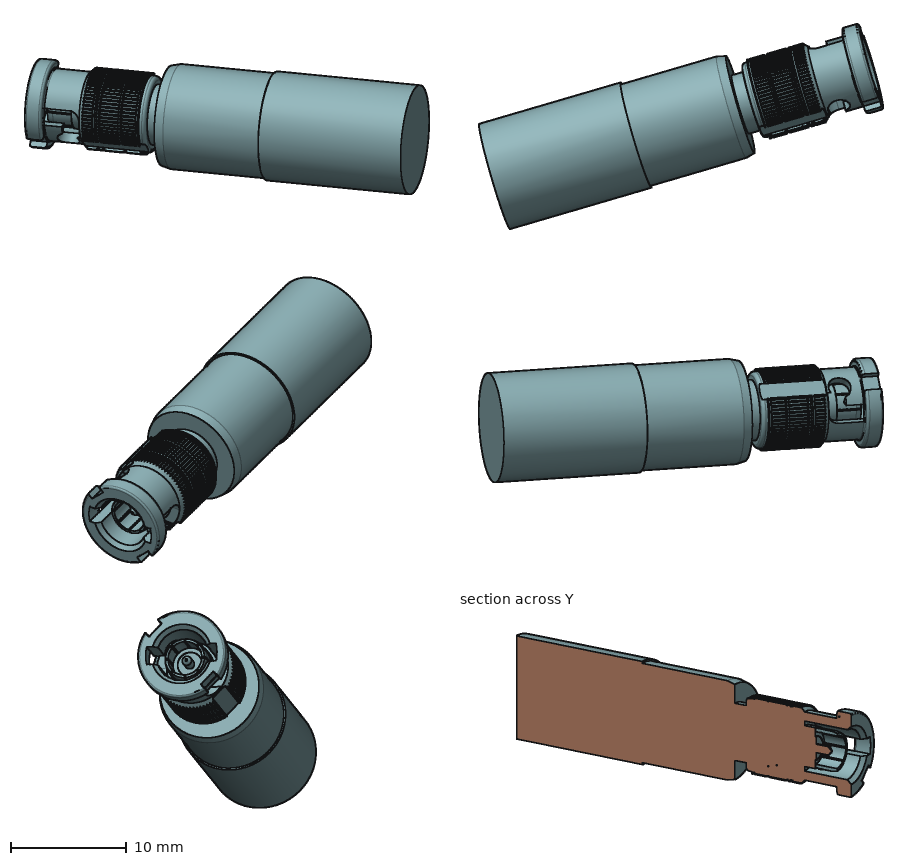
import cadquery as cq
import math

length = 33.92

edge_tolerance = 0.005

handle_radius = 4.75
handle_start = 21.15
barrel_radius = 4.58
barrel_start = 11.77
barrel_chamfer_length = 0.8
barrel_chamfer_depth = 0.2
neck_radius = 2.65

flange_radius = 3.85
flange_length = 1.5
flange_front_fillet = 0.17
flange_rear_fillet = 0.25
flange_root_fillet = 0.1
sleeve_radius = 3.15
bore_radius = 2.27
bore_mouth_radius = 2.65
bore_mouth_length = 0.4
bore_depth = 4.8

nut_start = 4.7
nut_end = 10.7
knurl_end = 10.1
knurl_radius = 3.55
knurl_root_radius = 3.45
knurl_teeth = 72
knurl_crest_share = 0.6
collar_radius = 3.35
collar_fillet = 0.35
wide_grooves = (6.5, 8.45)
wide_groove_width = 0.3
narrow_grooves = (6.07, 9.95)
narrow_groove_width = 0.2
groove_depth = 0.17

slot_width = 1.55
slot_floor = 3.22
slot_angle = 45.0

keyway_half_width = 0.78
track_front = 3.12
track_end = 4.68
track_arc_start = 3.8
track_bottom = -1.85
latch_hole_diameter = 1.97
latch_hole_x = 3.53

contact_tip = 1.5
contact_radius = 1.83
contact_base_radius = 1.9
contact_base_start = 3.65
contact_bore_radius = 1.5
contact_tip_chamfer_length = 0.47
contact_tip_chamfer_depth = 0.1
slit_count = 8
slit_width = 0.15
insulator_radius = 1.1
insulator_height = 0.1
pin_tip = 2.05
pin_radius = 0.4
pin_tip_radius = 0.1
pin_taper_length = 0.3


def turned(profile):
    """Solid of revolution about X from (x, radius) points."""
    points = [(profile[0][0], 0)] + profile + [(profile[-1][0], 0)]
    return cq.Workplane("XY").polyline(points).close().revolve(360, (0, 0, 0), (1, 0, 0))


def x_cylinder(radius, start, end):
    return cq.Workplane("YZ", origin=(start, 0, 0)).circle(radius).extrude(end - start)


def both_sides(cutter):
    """The shape together with its copy half a turn round the X axis."""
    return cutter.union(cutter.rotate((0, 0, 0), (1, 0, 0), 180))


def make_body():
    return turned([
        (0, flange_radius),
        (flange_length, flange_radius),
        (flange_length, sleeve_radius),
        (knurl_end, sleeve_radius),
        (knurl_end, collar_radius),
        (nut_end, collar_radius),
        (nut_end, neck_radius),
        (barrel_start, neck_radius),
        (barrel_start, barrel_radius - barrel_chamfer_depth),
        (barrel_start + barrel_chamfer_length, barrel_radius),
        (handle_start, barrel_radius),
        (handle_start, handle_radius),
        (length, handle_radius),
    ])


def round_edge(body, x, radius, fillet):
    """Fillet the circular edge of the body at the given station and radius."""
    box = cq.selectors.BoxSelector(
        (x - edge_tolerance, -radius - edge_tolerance, -radius - edge_tolerance),
        (x + edge_tolerance, radius + edge_tolerance, radius + edge_tolerance),
        boundingbox=True,
    )
    rim = body.edges(box).edges(cq.selectors.RadiusNthSelector(-1))
    return rim.fillet(fillet)


def make_knurl():
    """Toothed prism trimmed to a ring with a 45 degree front cone and turned grooves."""
    pitch = 2 * math.pi / knurl_teeth
    half_crest = knurl_crest_share * pitch / 2
    outline = []
    for i in range(knurl_teeth):
        crest = (i + 0.5) * pitch
        for radius, angle in (
            (knurl_radius, crest - half_crest),
            (knurl_radius, crest + half_crest),
            (knurl_root_radius, crest + pitch / 2),
        ):
            outline.append((radius * math.cos(angle), radius * math.sin(angle)))
    teeth = cq.Workplane("YZ", origin=(nut_start, 0, 0)).polyline(outline).close()
    teeth = teeth.extrude(knurl_end - nut_start)

    groove_radius = knurl_radius - groove_depth
    grooves = [(x, wide_groove_width, 0) for x in wide_grooves]
    grooves += [(x, narrow_groove_width, narrow_groove_width) for x in narrow_grooves]
    profile = [
        (nut_start, sleeve_radius),
        (nut_start + knurl_radius - sleeve_radius, knurl_radius),
    ]
    for x, width, floor_width in sorted(grooves):
        profile += [(x - width / 2, knurl_radius), (x - floor_width / 2, groove_radius)]
        if floor_width > 0:
            profile.append((x + floor_width / 2, groove_radius))
        profile.append((x + width / 2, knurl_radius))
    profile.append((knurl_end, knurl_radius))
    return teeth.intersect(turned(profile))


def make_alignment_slots():
    slot = cq.Workplane("XY").box(nut_end, slot_width, flange_radius, centered=(False, True, False))
    slot = slot.translate((0, 0, slot_floor))
    return both_sides(slot.rotate((0, 0, 0), (1, 0, 0), -slot_angle))


def make_bore():
    return turned([
        (0, bore_mouth_radius),
        (bore_mouth_length, bore_radius),
        (bore_depth, bore_radius),
    ])


def make_bayonet_tracks():
    arc_radius = track_end - track_arc_start
    arc_middle = arc_radius * math.sqrt(0.5)
    arc_center_z = keyway_half_width - arc_radius
    outline = (
        cq.Workplane("XZ")
        .moveTo(0, -keyway_half_width)
        .lineTo(0, keyway_half_width)
        .lineTo(track_arc_start, keyway_half_width)
        .threePointArc(
            (track_arc_start + arc_middle, arc_center_z + arc_middle),
            (track_end, arc_center_z),
        )
        .lineTo(track_end, track_bottom)
        .lineTo(track_front, track_bottom)
        .lineTo(track_front, -keyway_half_width)
        .close()
    )
    track = outline.extrude(sleeve_radius)
    track = track.intersect(x_cylinder(sleeve_radius, 0, track_end))

    hole = cq.Workplane("XY", origin=(latch_hole_x, 0, 0)).circle(latch_hole_diameter / 2)
    hole = hole.extrude(-flange_radius)
    hole = hole.rotate((0, 0, 0), (1, 0, 0), -slot_angle)

    return both_sides(track.union(hole))


def make_contacts():
    shell = turned([
        (contact_tip, contact_radius - contact_tip_chamfer_depth),
        (contact_tip + contact_tip_chamfer_length, contact_radius),
        (contact_base_start, contact_radius),
    ])
    shell = shell.cut(x_cylinder(contact_bore_radius, contact_tip, contact_base_start))
    slit_length = contact_base_start - contact_tip
    for i in range(slit_count // 2):
        slit = cq.Workplane("XY").box(
            slit_length, slit_width, 2 * contact_radius, centered=(False, True, True)
        )
        slit = slit.translate((contact_tip, 0, 0))
        shell = shell.cut(slit.rotate((0, 0, 0), (1, 0, 0), i * 360 / slit_count))

    base = x_cylinder(contact_base_radius, contact_base_start, bore_depth)
    insulator = x_cylinder(insulator_radius, contact_base_start - insulator_height, contact_base_start)
    pin = turned([
        (pin_tip, pin_tip_radius),
        (pin_tip + pin_taper_length, pin_radius),
        (contact_base_start, pin_radius),
    ])
    return base.union(shell).union(insulator).union(pin)


body = make_body()
body = round_edge(body, 0, flange_radius, flange_front_fillet)
body = round_edge(body, flange_length, flange_radius, flange_rear_fillet)
body = round_edge(body, flange_length, sleeve_radius, flange_root_fillet)
body = round_edge(body, nut_end, collar_radius, collar_fillet)
result = body.cut(make_bore()).cut(make_bayonet_tracks())
result = result.union(make_knurl())
result = result.cut(make_alignment_slots())
result = result.union(make_contacts())